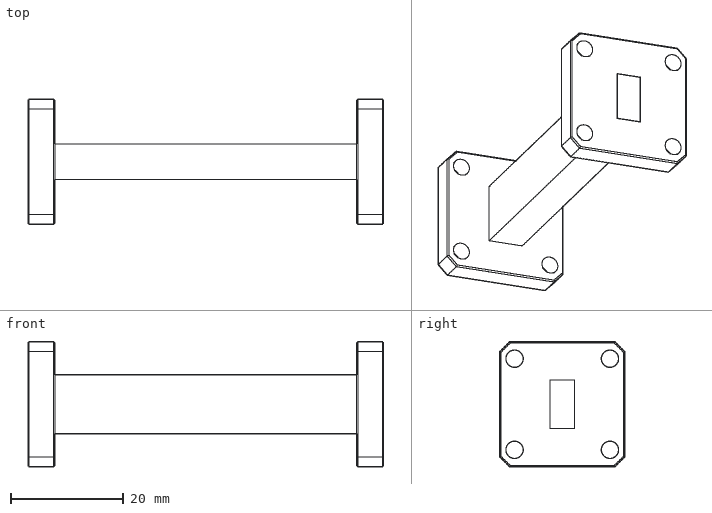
import cadquery as cq

total_length = 63.5
flange_side = 22.35
flange_thickness = 4.8
corner_chamfer = 1.8
rim_chamfer = 0.25

bar_width = 6.35
bar_height = 10.55

hole_diameter = 3.05
hole_spacing_y = 17.0
hole_spacing_z = 16.25

aperture_width = 4.45
aperture_height = 8.65
aperture_depth = 0.1


def make_flange(x_center):
    """Square flange with cut corners, bevelled rims and four through holes."""
    return (
        cq.Workplane("XY")
        .box(flange_thickness, flange_side, flange_side)
        .edges("|X")
        .chamfer(corner_chamfer)
        .faces("<X or >X")
        .edges()
        .chamfer(rim_chamfer)
        .faces(">X")
        .workplane(origin=(0, 0, 0))
        .rect(hole_spacing_y, hole_spacing_z, forConstruction=True)
        .vertices()
        .hole(hole_diameter)
        .translate((x_center, 0, 0))
    )


def make_recess(x_outer_face):
    """Cutter centred on an end face, so half of its thickness enters the flange."""
    return (
        cq.Workplane("XY")
        .box(2 * aperture_depth, aperture_width, aperture_height)
        .translate((x_outer_face, 0, 0))
    )


bar_length = total_length - 2 * flange_thickness
result = cq.Workplane("XY").box(bar_length, bar_width, bar_height)

for side in (-1, 1):
    end_x = side * total_length / 2
    flange_x = side * (total_length - flange_thickness) / 2
    result = result.union(make_flange(flange_x)).cut(make_recess(end_x))